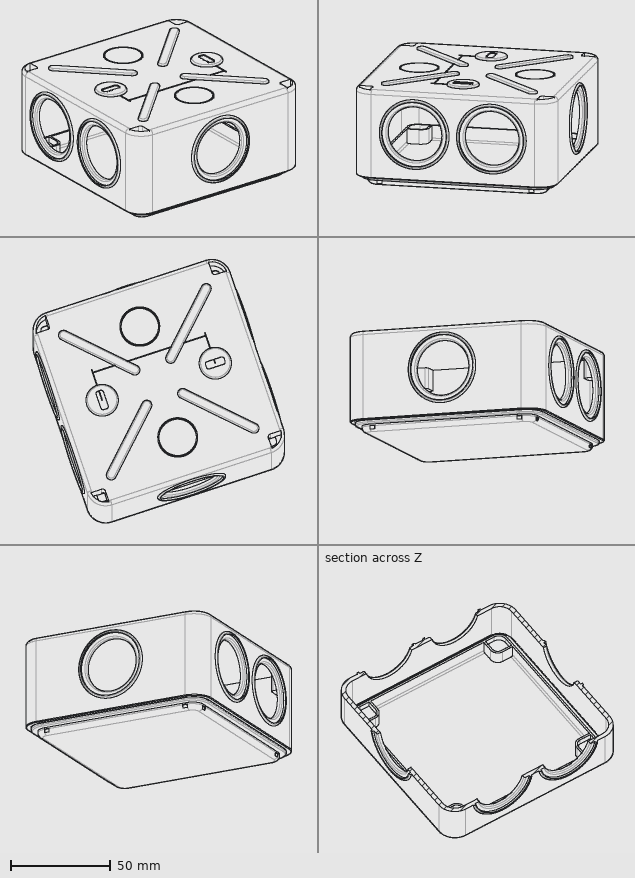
import cadquery as cq


housing_size = 104.0
housing_bottom = 5.0
housing_top = 50.5
housing_corner_radius = 9.7
top_edge_radius = 2.1
bottom_edge_chamfer = 0.4
wall = 2.5

overshoot = 1.1

overall_size = 105.6
entry_height = 28.9
entry_spacing = 39.9
collar_radius = 18.1
collar_edge_radius = 0.7
collar_bore_radius = 16.7
collar_bore_depth = 1.1
entry_radius = 14.0
entry_edge_radius = 0.7

raised_height = 1.1
raised_edge_radius = 0.7
rib_inner_reach = 9.5
rib_outer_reach = 37.8
rib_width = 5.1
mark_distance = 30.0
boss_radius = 8.1
boss_slot_length = 9.9
boss_slot_width = 3.9
boss_slot_corner_radius = 1.3
boss_slot_depth = 0.5
groove_outer_radius = 10.0
groove_inner_radius = 9.4
groove_depth = 1.1
dimension_line_x = 15.0
dimension_line_end = 16.6
dimension_line_width = 0.3
dimension_line_depth = 0.2

pocket_start = 43.2
pocket_arc_radius = 8.1
pocket_depth = 10.6
pocket_wall = 1.6
pocket_inner_radius = 1.5
well_size = 4.1
well_corner_radius = 2.1
well_depth = 1.1

dish_size = 93.1
dish_corner_radius = 6.0
dish_edge_radius = 2.5
dish_wall = 1.8
dish_floor = 2.0
dish_floor_radius = 1.0
rim_top = 9.5
rim_thickness = 1.1
flange_size = 99.9
flange_bottom = 3.4
flange_corner_radius = 9.4
flange_edge_radius = 0.6
screw_wall_start = 34.3
screw_wall_thickness = 1.1
screw_wall_radius = 4.2
screw_floor = 6.3
notch_start = 38.0
notch_end = dish_size / 2 - dish_corner_radius
notch_height = 2.6
notch_depth = 0.5

quarter_turns = [0, 90, 180, 270]
z_axis = ((0, 0, 0), (0, 0, 1))


def rounded_block(size, corner_radius, bottom, top):
    """Square block with rounded vertical edges."""
    block = cq.Workplane("XY").workplane(offset=bottom).rect(size, size).extrude(top - bottom)
    return block.edges("|Z").fillet(corner_radius)


def four_around(body):
    """The body and its three quarter-turn copies about the Z axis."""
    copies = cq.Workplane("XY")
    for angle in quarter_turns:
        copies = copies.add(body.rotate(*z_axis, angle))
    return copies.combine()


def on_sides(body):
    """Copies of a body built along +Z, placed at all six cable entries facing outward."""
    copies = []
    for angle in quarter_turns:
        paired_side = angle in (0, 180)
        offsets = (-entry_spacing / 2, entry_spacing / 2) if paired_side else (0,)
        for offset in offsets:
            facing_front = body.rotate((0, 0, 0), (1, 0, 0), 90)
            placed = facing_front.translate((offset, 0, entry_height))
            copies.append(placed.rotate(*z_axis, angle))
    return copies


def collar():
    """Raised ring around a cable entry, seated in the wall."""
    seat = housing_size / 2 - wall / 2
    ring = cq.Workplane("XY").workplane(offset=seat).circle(collar_radius).extrude(overall_size / 2 - seat)
    return ring.faces(">Z").edges().fillet(collar_edge_radius)


def entry_bore():
    """Wide shallow recess with a rounded step down to the cable hole."""
    step = overall_size / 2 - collar_bore_depth
    inside = housing_size / 2 - wall
    mouth_radius = entry_radius + entry_edge_radius
    outline = (
        cq.Workplane("XZ")
        .moveTo(0, inside - overshoot)
        .lineTo(entry_radius, inside - overshoot)
        .lineTo(entry_radius, step - entry_edge_radius)
        .radiusArc((mouth_radius, step), entry_edge_radius)
        .lineTo(collar_bore_radius, step)
        .lineTo(collar_bore_radius, overall_size / 2 + overshoot)
        .lineTo(0, overall_size / 2 + overshoot)
        .close()
    )
    return outline.revolve(360, (0, 0, 0), (0, 1, 0))


def pocket_plan(bottom, top, grow):
    """Corner quadrant bounded by two straight walls and an arc, widened by grow inward."""
    arc_centre = housing_size / 2 - housing_corner_radius
    start = pocket_start - grow
    height = top - bottom
    square = (
        cq.Workplane("XY")
        .workplane(offset=bottom)
        .rect(housing_corner_radius * 2, housing_corner_radius * 2, centered=False)
        .extrude(height)
        .edges("|Z and <X and <Y")
        .fillet(pocket_inner_radius)
        .translate((start, start, 0))
    )
    rounded = rounded_block(2 * (arc_centre + pocket_arc_radius), pocket_arc_radius, bottom, top)
    return square.intersect(rounded)


def corner_pocket():
    """Open pocket with a small rounded well in its floor."""
    floor = housing_top - pocket_depth
    pocket = pocket_plan(floor, housing_top + overshoot, 0)
    well = (
        cq.Workplane("XY")
        .workplane(offset=floor - well_depth)
        .rect(well_size, well_size, centered=False)
        .extrude(2 * well_depth)
        .edges("|Z and >X and >Y")
        .fillet(well_corner_radius)
        .translate((pocket_start, pocket_start, 0))
    )
    return pocket.union(well)


def corner_pocket_casing():
    """Material that closes a corner pocket from the inside of the shell."""
    bottom = housing_top - pocket_depth - well_depth - pocket_wall
    return pocket_plan(bottom, housing_top - top_edge_radius, pocket_wall)


def diagonal_rib():
    """Raised bar with round ends along the diagonal of the top face."""
    diagonal = 2**0.5
    length = (rib_outer_reach - rib_inner_reach) * diagonal
    middle = (rib_outer_reach + rib_inner_reach) / 2 * diagonal
    bar = (
        cq.Workplane("XY")
        .workplane(offset=housing_top)
        .center(middle, 0)
        .slot2D(length + rib_width, rib_width)
        .extrude(raised_height)
    )
    return bar.faces(">Z").edges().fillet(raised_edge_radius).rotate(*z_axis, 45)


def slotted_boss(slot_angle):
    """Raised disc with a shallow slot, centred on the Z axis."""
    disc = cq.Workplane("XY").workplane(offset=housing_top).circle(boss_radius).extrude(raised_height)
    disc = disc.faces(">Z").edges().fillet(raised_edge_radius)
    slot = (
        cq.Workplane("XY")
        .workplane(offset=housing_top + raised_height - boss_slot_depth)
        .rect(boss_slot_length, boss_slot_width)
        .extrude(2 * boss_slot_depth)
        .edges("|Z")
        .fillet(boss_slot_corner_radius)
    )
    return disc.cut(slot.rotate(*z_axis, slot_angle))


def ring_grooves():
    """Circular grooves that outline the two knock-outs."""
    return (
        cq.Workplane("XY")
        .workplane(offset=housing_top - groove_depth)
        .pushPoints([(-mark_distance, 0), (mark_distance, 0)])
        .circle(groove_outer_radius)
        .circle(groove_inner_radius)
        .extrude(2 * groove_depth)
    )


def dimension_lines():
    """Engraved line spanning the two bosses, with an extension line at each end."""
    plane = cq.Workplane("XY").workplane(offset=housing_top - dimension_line_depth)
    height = 2 * dimension_line_depth
    span = plane.center(dimension_line_x, 0).rect(dimension_line_width, 2 * mark_distance).extrude(height)
    extensions = (
        plane.pushPoints([(dimension_line_end / 2, -mark_distance), (dimension_line_end / 2, mark_distance)])
        .rect(dimension_line_end, dimension_line_width)
        .extrude(height)
    )
    return span.union(extensions)


def make_housing():
    shell = rounded_block(housing_size, housing_corner_radius, housing_bottom, housing_top)
    shell = shell.faces(">Z").edges().fillet(top_edge_radius)
    shell = shell.faces("<Z").edges().chamfer(bottom_edge_chamfer)
    cavity = rounded_block(
        housing_size - 2 * wall, housing_corner_radius - wall, housing_bottom - overshoot, housing_top - wall
    )
    shell = shell.cut(cavity)

    for ring in on_sides(collar()):
        shell = shell.union(ring)
    for bore in on_sides(entry_bore()):
        shell = shell.cut(bore)

    shell = shell.union(four_around(corner_pocket_casing()))
    shell = shell.cut(four_around(corner_pocket()))

    shell = shell.cut(ring_grooves()).cut(dimension_lines())
    shell = shell.union(four_around(diagonal_rib()))
    shell = shell.union(slotted_boss(0).translate((0, mark_distance, 0)))
    return shell.union(slotted_boss(90).translate((0, -mark_distance, 0)))


def corner_block(start, radius, bottom):
    """Square column in an inside corner of the lid, rounded toward the middle of the box."""
    reach = dish_size / 2 - start
    column = (
        cq.Workplane("XY")
        .workplane(offset=bottom)
        .rect(reach, reach, centered=False)
        .extrude(rim_top - bottom)
        .edges("|Z and <X and <Y")
        .fillet(radius)
        .translate((start, start, 0))
    )
    rim_plan = rounded_block(dish_size - 2 * dish_wall, dish_corner_radius - dish_wall, bottom, rim_top)
    return column.intersect(rim_plan)


def screw_post():
    """Corner post of the lid with a shallow walled seat in its top."""
    inner_start = screw_wall_start + screw_wall_thickness
    inner_radius = screw_wall_radius - screw_wall_thickness
    post = corner_block(screw_wall_start, screw_wall_radius, dish_floor)
    return post.cut(corner_block(inner_start, inner_radius, screw_floor))


def edge_notches():
    """Pair of shallow notches in the rounded bottom edge of one side of the lid."""
    length = notch_end - notch_start
    middle = (notch_start + notch_end) / 2
    return (
        cq.Workplane("XY")
        .pushPoints([(-middle, -dish_size / 2), (middle, -dish_size / 2)])
        .rect(length, 2 * notch_depth)
        .extrude(notch_height)
    )


def make_lid():
    inside_size = dish_size - 2 * dish_wall
    inside_radius = dish_corner_radius - dish_wall
    dish = rounded_block(dish_size, dish_corner_radius, 0, housing_bottom)
    dish = dish.faces("<Z").edges().fillet(dish_edge_radius)
    flange = rounded_block(flange_size, flange_corner_radius, flange_bottom, housing_bottom)
    flange = flange.faces("<Z").edges().fillet(flange_edge_radius)
    rim_size = inside_size + 2 * rim_thickness
    rim = rounded_block(rim_size, inside_radius + rim_thickness, flange_bottom, rim_top)
    cavity = rounded_block(inside_size, inside_radius, dish_floor, rim_top + overshoot)
    cavity = cavity.faces("<Z").edges().fillet(dish_floor_radius)
    lid = dish.union(flange).union(rim).cut(cavity)
    lid = lid.union(four_around(screw_post()))
    return lid.cut(four_around(edge_notches()))


housing = make_housing()
lid = make_lid()
result = cq.Compound.makeCompound([housing.val(), lid.val()])